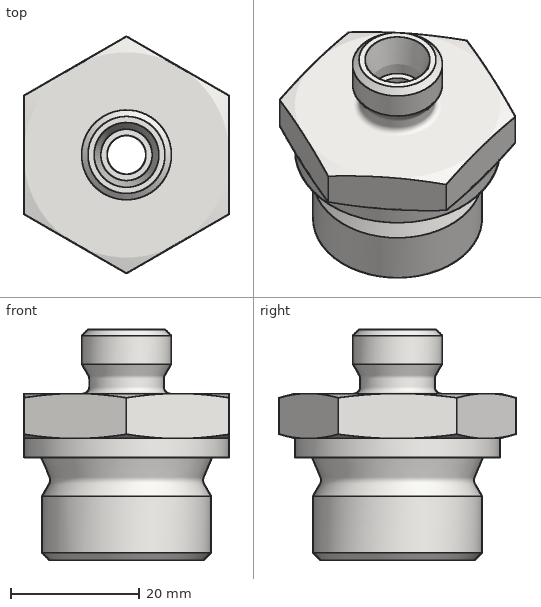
import cadquery as cq
import math

total_height = 36.0
flange_bottom = 16.0
hex_bottom = 19.0
hex_top = 26.0

stud_diameter = 26.41
stud_chamfer = 1.2
stud_top = 10.0

groove_diameter = 23.9
groove_lower_angle = 30.0
groove_upper_angle = 23.0
groove_fillet = 1.2

across_flats = 32.0
flange_diameter = 32.01
flange_chamfer = 0.1
hex_chamfer_angle = 15.0

collar_diameter = 14.0
collar_chamfer = 1.0
collar_bottom = 30.6
collar_cone_angle = 30.0
neck_diameter = 11.7
neck_fillet = 1.0

bore_diameter = 6.0
socket_diameter = 8.0
socket_depth = 7.0
mouth_diameter = 10.1
mouth_cone_angle = 12.0


def slope(angle):
    return math.tan(math.radians(angle))


def turn(half_profile):
    """Revolve a closed radius-height wire about the Z axis."""
    return half_profile.close().revolve(360, (0, 0, 0), (0, 1, 0))


def throat_point(throat_radius, throat_z, fillet, angle):
    """Radius and height on a concave fillet where its surface leans by angle from the axis.

    The throat, at angle zero, is the narrowest point; a negative angle lies below it.
    """
    lean = math.radians(angle)
    return throat_radius + fillet * (1 - math.cos(lean)), throat_z + fillet * math.sin(lean)


def make_stud():
    """Threaded stud with its undercut, reaching up to the flange."""
    radius = stud_diameter / 2
    throat_radius = groove_diameter / 2
    sharp_z = stud_top + (radius - throat_radius) / slope(groove_lower_angle)
    throat_z = sharp_z + groove_fillet * slope(groove_lower_angle / 2)
    arc_start = throat_point(throat_radius, throat_z, groove_fillet, -groove_lower_angle)
    arc_end = throat_point(throat_radius, throat_z, groove_fillet, groove_upper_angle)
    cone_top_radius = arc_end[0] + (flange_bottom - arc_end[1]) * slope(groove_upper_angle)
    return turn(
        cq.Workplane("XZ")
        .moveTo(0, 0)
        .lineTo(radius - stud_chamfer, 0)
        .lineTo(radius, stud_chamfer)
        .lineTo(radius, stud_top)
        .lineTo(*arc_start)
        .threePointArc((throat_radius, throat_z), arc_end)
        .lineTo(cone_top_radius, flange_bottom)
        .lineTo(0, flange_bottom)
    )


def make_flange():
    """Round sealing flange under the hexagon."""
    return (
        cq.Workplane("XY")
        .workplane(offset=flange_bottom)
        .circle(flange_diameter / 2)
        .extrude(hex_bottom - flange_bottom)
        .faces("<Z")
        .chamfer(flange_chamfer)
    )


def make_hexagon():
    """Hexagon with corners on the Y axis, its corners bevelled at both ends."""
    corner_diameter = across_flats / math.cos(math.radians(30))
    corner_radius = corner_diameter / 2
    flat_radius = across_flats / 2
    bevel_height = (corner_radius - flat_radius) * slope(hex_chamfer_angle)
    prism = (
        cq.Workplane("XY")
        .workplane(offset=hex_bottom)
        .polygon(6, corner_diameter)
        .extrude(hex_top - hex_bottom)
        .rotate((0, 0, 0), (0, 0, 1), 90)
    )
    bevel_envelope = turn(
        cq.Workplane("XZ")
        .moveTo(0, hex_bottom)
        .lineTo(flat_radius, hex_bottom)
        .lineTo(corner_radius, hex_bottom + bevel_height)
        .lineTo(corner_radius, hex_top - bevel_height)
        .lineTo(flat_radius, hex_top)
        .lineTo(0, hex_top)
    )
    return prism.intersect(bevel_envelope)


def make_connector():
    """Collar on a narrower neck that flares into the top of the hexagon."""
    collar_radius = collar_diameter / 2
    neck_radius = neck_diameter / 2
    sharp_z = collar_bottom - (collar_radius - neck_radius) / slope(collar_cone_angle)
    blend_z = sharp_z - neck_fillet * slope(collar_cone_angle / 2)
    blend_middle = throat_point(neck_radius, blend_z, neck_fillet, collar_cone_angle / 2)
    blend_end = throat_point(neck_radius, blend_z, neck_fillet, collar_cone_angle)
    flare_z = hex_top + neck_fillet
    flare_middle = throat_point(neck_radius, flare_z, neck_fillet, -45)
    return turn(
        cq.Workplane("XZ")
        .moveTo(0, hex_top)
        .lineTo(neck_radius + neck_fillet, hex_top)
        .threePointArc(flare_middle, (neck_radius, flare_z))
        .lineTo(neck_radius, blend_z)
        .threePointArc(blend_middle, blend_end)
        .lineTo(collar_radius, collar_bottom)
        .lineTo(collar_radius, total_height - collar_chamfer)
        .lineTo(collar_radius - collar_chamfer, total_height)
        .lineTo(0, total_height)
    )


def make_bore():
    """Through bore, tube socket and conical mouth."""
    mouth_depth = (mouth_diameter - socket_diameter) / 2 / slope(mouth_cone_angle)
    return turn(
        cq.Workplane("XZ")
        .moveTo(0, 0)
        .lineTo(bore_diameter / 2, 0)
        .lineTo(bore_diameter / 2, total_height - socket_depth)
        .lineTo(socket_diameter / 2, total_height - socket_depth)
        .lineTo(socket_diameter / 2, total_height - mouth_depth)
        .lineTo(mouth_diameter / 2, total_height)
        .lineTo(0, total_height)
    )


body = make_stud().union(make_flange()).union(make_hexagon()).union(make_connector())
result = body.cut(make_bore())